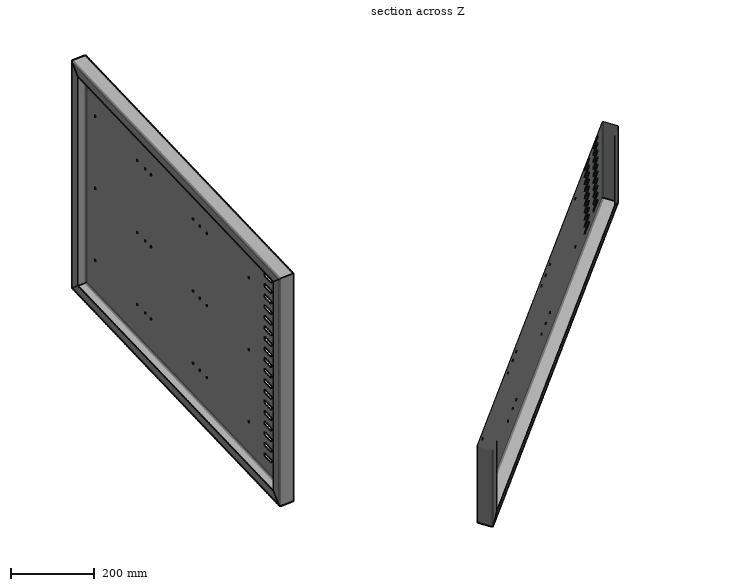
import cadquery as cq
import math

WIDTH = 956.0
DEPTH = 42.0
HEIGHT = 712.0

SHEET = 1.5
INNER_BEND = 2.0
OUTER_BEND = INNER_BEND + SHEET
LIP = 29.7
CORNER_GAP = 0.2

FRONT_Y = -DEPTH / 2
BACK_Y = DEPTH / 2
LIP_MIDDLE_Y = FRONT_Y + SHEET / 2
LIP_CUTTER_DEPTH = 2 * SHEET

HOLE_DIAMETER = 5.5
HOLE_ROW_PITCH = 225.0
HOLE_MIDDLE_Z = -31.0
FIRST_PAIR_X = -435.0
PAIR_SPACING = 193.0
PAIR_PITCH = 256.0
PAIR_COUNT = 3
FIRST_SINGLE_X = -205.0
SINGLE_PITCH = 250.0
SINGLE_COUNT = 2

SLOT_LENGTH = 35.0
SLOT_HEIGHT = 10.0
SLOT_COLUMN_X = (357.5, 422.5)
SLOT_ROWS = 20
SLOT_PITCH = 33.05
BOTTOM_SLOT_Z = -306.5


def rounded_block(inset, bend_radius):
    """Block inset from the overall size, rounded along the edges of its front and back faces."""
    width = WIDTH - 2 * inset
    depth = DEPTH - 2 * inset
    height = HEIGHT - 2 * inset
    across = cq.Workplane("XY").box(width, depth, height).edges("|Z").fillet(bend_radius)
    upright = cq.Workplane("XY").box(width, depth, height).edges("|X").fillet(bend_radius)
    return across.intersect(upright)


def front_opening():
    """Rectangular opening left between the four return lips."""
    return (
        cq.Workplane("XY")
        .box(WIDTH - 2 * LIP, LIP_CUTTER_DEPTH, HEIGHT - 2 * LIP)
        .translate((0, LIP_MIDDLE_Y, 0))
    )


def mitre_gaps():
    """Thin 45 degree gaps where neighbouring lips meet, from the opening out to the bends."""
    flat = LIP - OUTER_BEND
    middle = OUTER_BEND + flat / 2
    gaps = cq.Workplane("XY")
    for side_x in (-1, 1):
        for side_z in (-1, 1):
            gap = (
                cq.Workplane("XY")
                .box(flat * math.sqrt(2), LIP_CUTTER_DEPTH, CORNER_GAP)
                .rotate((0, 0, 0), (0, 1, 0), -45 * side_x * side_z)
                .translate((
                    side_x * (WIDTH / 2 - middle),
                    LIP_MIDDLE_Y,
                    side_z * (HEIGHT / 2 - middle),
                ))
            )
            gaps = gaps.add(gap)
    return gaps.combine()


def corner_seams():
    """Thin gaps between the bends where the top and bottom walls butt against the side walls."""
    return (
        cq.Workplane("XZ")
        .rect(WIDTH - 2 * SHEET - CORNER_GAP, HEIGHT - SHEET, forConstruction=True)
        .vertices()
        .box(CORNER_GAP, SHEET, DEPTH - 2 * OUTER_BEND)
    )


def back_panel_plane():
    """Sketch plane on the inside of the back panel, with local x = X and local y = Z."""
    return cq.Workplane("XZ", origin=(0, BACK_Y - SHEET, 0))


def mounting_holes():
    """Cutters for the small holes that hold the mounted equipment."""
    columns = []
    for index in range(PAIR_COUNT):
        pair_x = FIRST_PAIR_X + index * PAIR_PITCH
        columns += [pair_x, pair_x + PAIR_SPACING]
    for index in range(SINGLE_COUNT):
        columns.append(FIRST_SINGLE_X + index * SINGLE_PITCH)
    rows = [HOLE_MIDDLE_Z + step * HOLE_ROW_PITCH for step in (-1, 0, 1)]
    centres = [(x, z) for x in columns for z in rows]
    return back_panel_plane().pushPoints(centres).circle(HOLE_DIAMETER / 2).extrude(-SHEET)


def ventilation_slots():
    """Cutters for the two columns of round-ended slots."""
    rows = [BOTTOM_SLOT_Z + index * SLOT_PITCH for index in range(SLOT_ROWS)]
    centres = [(x, z) for x in SLOT_COLUMN_X for z in rows]
    return back_panel_plane().pushPoints(centres).slot2D(SLOT_LENGTH, SLOT_HEIGHT).extrude(-SHEET)


tray = rounded_block(0, OUTER_BEND).cut(rounded_block(SHEET, INNER_BEND))
tray = tray.cut(front_opening()).cut(mitre_gaps()).cut(corner_seams())
result = tray.cut(mounting_holes()).cut(ventilation_slots())